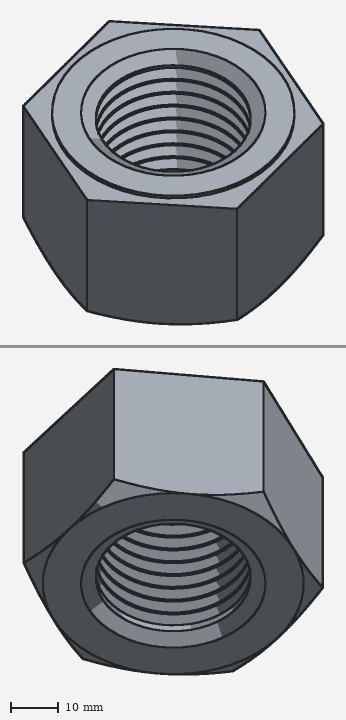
import cadquery as cq
import math

corner_diameter = 63.5
flat_width = corner_diameter * math.cos(math.radians(30))
total_height = 35.5
face_diameter = 51.1
face_height = 0.75
chamfer_angle = 30.0

bore_radius = 16.3
countersink_radius = 19.45
countersink_angle = 30.0
thread_pitch = 3.75
crest_width = 0.6
end_crest_width = 0.75
flank_angle = 30.0
groove_count = 8

hex_height = total_height - face_height
flat_radius = flat_width / 2
countersink_depth = (countersink_radius - bore_radius) * math.tan(math.radians(countersink_angle))
groove_width = thread_pitch - crest_width
groove_depth = groove_width / 2 / math.tan(math.radians(flank_angle))


def revolve_profile(points):
    """Revolve a closed (radius, height) outline about the Z axis."""
    return cq.Workplane("XZ").polyline(points).close().revolve(360, (0, 0, 0), (0, 1, 0))


def make_body():
    """Hexagon with its lower corners chamfered by a cone, plus the bearing face."""
    hexagon = cq.Workplane("XY").polygon(6, corner_diameter).extrude(hex_height)
    envelope_radius = corner_diameter
    cone_height = (envelope_radius - flat_radius) * math.tan(math.radians(chamfer_angle))
    envelope = revolve_profile([
        (0, 0),
        (flat_radius, 0),
        (envelope_radius, cone_height),
        (envelope_radius, total_height),
        (0, total_height),
    ])
    face = cq.Workplane("XY").circle(face_diameter / 2).extrude(total_height)
    return hexagon.intersect(envelope).union(face)


def make_threaded_bore():
    """Bore with a countersink at each end and V grooves stepping down from the top."""
    outline = [
        (0, 0),
        (countersink_radius, 0),
        (bore_radius, countersink_depth),
    ]
    first_groove_top = total_height - countersink_depth - end_crest_width
    for index in reversed(range(groove_count)):
        groove_top = first_groove_top - index * thread_pitch
        outline += [
            (bore_radius, groove_top - groove_width),
            (bore_radius + groove_depth, groove_top - groove_width / 2),
            (bore_radius, groove_top),
        ]
    outline += [
        (bore_radius, total_height - countersink_depth),
        (countersink_radius, total_height),
        (0, total_height),
    ]
    return revolve_profile(outline)


result = make_body().cut(make_threaded_bore())